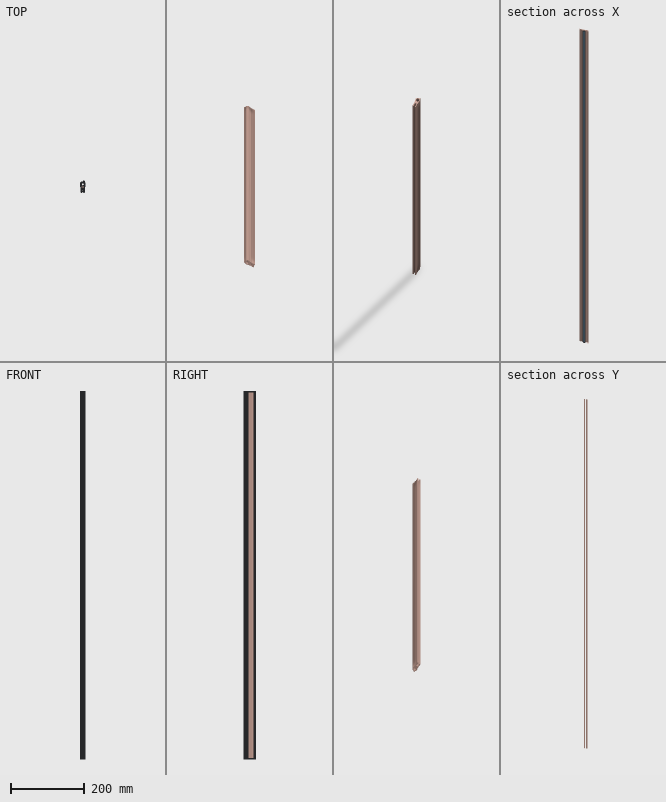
import cadquery as cq
import math

LENGTH = 1000.0
PROFILE_HEIGHT = 30.5
TOP_Y = PROFILE_HEIGHT / 2
BOTTOM_Y = -PROFILE_HEIGHT / 2

BULB_DIAMETER = 13.29
BULB_RADIUS = BULB_DIAMETER / 2
BULB_WALL = 2.4
BULB_CENTER_Y = 6.8

LIP_LEAN = math.radians(16)
LIP_TOP_LEFT_X = 1.8
LIP_TOP_WIDTH = 2.2
LIP_OUTER_SLOPE_X = 0.6
LIP_ROOT_DEPTH = 4.45
LIP_ROOT_Y = TOP_Y - LIP_ROOT_DEPTH

NECK_HALF_WIDTH = 5.6
NECK_Y = 2.2
SHOULDER_HALF_WIDTH = 5.2
SHOULDER_Y = -1.8
WAIST_HALF_WIDTH = 4.5
WAIST_Y = -4.7
LEG_OUTER_X = 4.8
LEG_TOP_Y = -7.9
LEG_END_SLOPE = math.radians(15)

CHANNEL_HALF_WIDTH = 2.8
CHANNEL_TOP_Y = -4.6

FIN_COUNT = 3
FIN_PITCH = 2.9
FIN_REACH = 2.0
FIN_ANGLE = math.radians(56)
FIN_THICKNESS = 1.0
FIN_OVERLAP = 0.5


def extrude(sketch):
    return sketch.extrude(LENGTH / 2, both=True)


def make_bulb():
    return extrude(cq.Workplane("XY").center(0, BULB_CENTER_Y).circle(BULB_RADIUS))


def make_bulb_hole():
    return extrude(cq.Workplane("XY").center(0, BULB_CENTER_Y).circle(BULB_RADIUS - BULB_WALL))


def make_lip():
    top_right_x = LIP_TOP_LEFT_X + LIP_TOP_WIDTH
    root_left_x = LIP_TOP_LEFT_X - (TOP_Y - LIP_ROOT_Y) * math.tan(LIP_LEAN)
    outline = [
        (root_left_x, LIP_ROOT_Y),
        (LIP_TOP_LEFT_X, TOP_Y),
        (top_right_x, TOP_Y),
        (top_right_x + LIP_OUTER_SLOPE_X, LIP_ROOT_Y),
    ]
    return extrude(cq.Workplane("XY").polyline(outline).close())


def make_clip():
    """Neck, shoulders, waist and the two slant-ended legs around the channel."""
    leg_width = LEG_OUTER_X - CHANNEL_HALF_WIDTH
    leg_end_y = BOTTOM_Y + leg_width * math.tan(LEG_END_SLOPE)
    half = (
        cq.Workplane("XY")
        .moveTo(0, BULB_CENTER_Y)
        .lineTo(BULB_RADIUS, BULB_CENTER_Y)
        .spline(
            [(NECK_HALF_WIDTH, NECK_Y), (SHOULDER_HALF_WIDTH, SHOULDER_Y)],
            tangents=[(0, -1), (0, -1)],
            includeCurrent=True,
        )
        .lineTo(WAIST_HALF_WIDTH, WAIST_Y)
        .lineTo(LEG_OUTER_X, LEG_TOP_Y)
        .lineTo(LEG_OUTER_X, leg_end_y)
        .lineTo(CHANNEL_HALF_WIDTH, BOTTOM_Y)
        .lineTo(CHANNEL_HALF_WIDTH, CHANNEL_TOP_Y)
        .lineTo(0, CHANNEL_TOP_Y)
        .close()
    )
    right_half = extrude(half)
    return right_half.union(right_half.mirror("YZ"))


def make_fin(root_y, side):
    """One fin; side is +1 for the +X leg and -1 for the -X leg."""
    rise_per_reach = math.tan(FIN_ANGLE)
    vertical_thickness = FIN_THICKNESS / math.cos(FIN_ANGLE)
    root_x = CHANNEL_HALF_WIDTH + FIN_OVERLAP
    tip_x = CHANNEL_HALF_WIDTH - FIN_REACH
    tip_bottom_y = root_y + FIN_REACH * rise_per_reach
    outline = [
        (side * CHANNEL_HALF_WIDTH, root_y),
        (side * tip_x, tip_bottom_y),
        (side * (tip_x + FIN_THICKNESS / math.sin(FIN_ANGLE)), tip_bottom_y),
        (side * CHANNEL_HALF_WIDTH, root_y + vertical_thickness),
        (side * root_x, root_y + vertical_thickness),
    ]
    return extrude(cq.Workplane("XY").polyline(outline).close())


def make_finned_clip():
    clip = make_clip()
    for fin_number in range(FIN_COUNT):
        root_y = BOTTOM_Y + fin_number * FIN_PITCH
        for side in (-1, 1):
            clip = clip.union(make_fin(root_y, side))
    return clip


bulb_disc = make_bulb()
bulb = bulb_disc.union(make_lip()).cut(make_bulb_hole())
clip_around_bulb = make_finned_clip().cut(bulb_disc)

result = bulb.union(clip_around_bulb, clean=False)